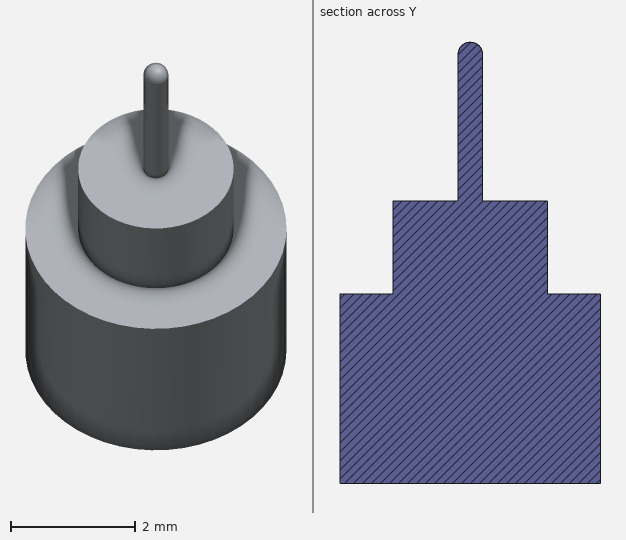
import cadquery as cq

body_diameter = 4.2
body_height = 3.05
collar_diameter = 2.5
collar_height = 1.5
insulator_diameter = 1.95
pin_diameter = 0.4
pin_tip_height = 0.18
overall_height = 7.1

collar_top = body_height + collar_height
pin_radius = pin_diameter / 2


def cylinder(diameter, bottom, top):
    """Upright cylinder on the Z axis between two heights."""
    return cq.Workplane("XY").workplane(offset=bottom).circle(diameter / 2).extrude(top - bottom)


def make_body():
    """Wide cylinder at the base of the part."""
    return cylinder(body_diameter, 0, body_height)


def make_collar():
    """Tubular collar that surrounds the insulator."""
    return cylinder(collar_diameter, body_height, collar_top).cut(make_insulator())


def make_insulator():
    """Plug inside the collar, flush with its top face."""
    return cylinder(insulator_diameter, body_height, collar_top)


def make_pin():
    """Thin contact pin with a domed tip: a spherical cap slightly lower than the pin radius."""
    tip_base = overall_height - pin_tip_height
    dome_radius = (pin_radius**2 + pin_tip_height**2) / (2 * pin_tip_height)
    dome = cq.Workplane("XY").sphere(dome_radius).translate((0, 0, overall_height - dome_radius))
    upper_slab = cylinder(body_diameter, tip_base, overall_height)
    cap = dome.intersect(upper_slab)
    return cylinder(pin_diameter, collar_top, tip_base).union(cap, clean=False)


result = (
    make_body()
    .union(make_collar(), clean=False)
    .union(make_insulator(), clean=False)
    .union(make_pin(), clean=False)
)